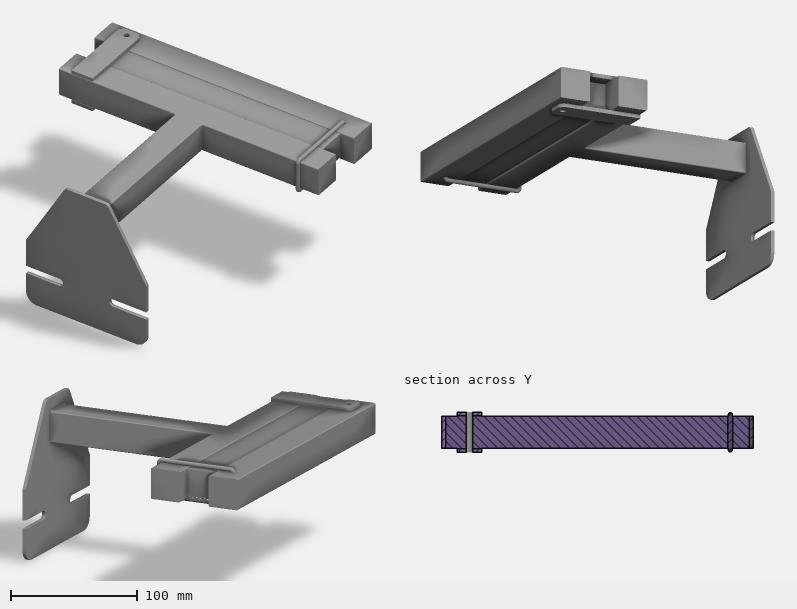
import cadquery as cq
import math


bar_size = 25.4
bar_length = 240.0
bar_edge_radius = 0.9
cap_thickness = 3.0

plate_thickness = 3.0
plate_width = 114.0
plate_top = 24.0
plate_height = 124.0
plate_top_width = 40.0
plate_slope_angle = 30.0
plate_top_radius = 5.0
plate_bottom_radius = 10.0
slot_height = 7.0
slot_depth = 35.0
slot_z = -69.0

overall_depth = 221.8
rear_bar_y = overall_depth - bar_size / 2
bar_gap = bar_size
front_bar_y = rear_bar_y - bar_size - bar_gap
front_bar_face = front_bar_y - bar_size / 2

weld_radius = 1.2
select_margin = 0.1

pad_length = 210.0
pad_right_end = 110.0
pad_height = 22.6
pad_top = 11.8
pad_thickness = bar_gap / 2

strap_width = 20.0
strap_thickness = 3.2
strap_x = -101.0
strap_overhang = 7.0
strap_corner_radius = 5.5
hinge_hole_diameter = 4.8

wire_diameter = 3.5
wire_x = 104.8
wire_bend_radius = 2.5


def square_bar(length, center_x, center_y):
    """Bar along X with rounded long edges."""
    return (
        cq.Workplane("XY")
        .box(length, bar_size, bar_size)
        .edges("|X")
        .fillet(bar_edge_radius)
        .translate((center_x, center_y, 0))
    )


def make_post():
    """Bar along Y from the plate into the front bar."""
    post_length = front_bar_y - plate_thickness
    return (
        cq.Workplane("XY")
        .box(bar_size, post_length, bar_size)
        .edges("|Y")
        .fillet(bar_edge_radius)
        .translate((0, plate_thickness + post_length / 2, 0))
    )


def make_plate():
    """Tapered plate with rounded corners and a round-ended slot open to each side."""
    half_width = plate_width / 2
    half_top = plate_top_width / 2
    plate_bottom = plate_top - plate_height
    shoulder_z = plate_top - (half_width - half_top) / math.tan(math.radians(plate_slope_angle))
    plate = (
        cq.Workplane("XZ")
        .polyline([
            (-half_width, plate_bottom),
            (half_width, plate_bottom),
            (half_width, shoulder_z),
            (half_top, plate_top),
            (-half_top, plate_top),
            (-half_width, shoulder_z),
        ])
        .close()
        .extrude(-plate_thickness)
    )
    plate = plate.faces("<Z").edges("|Y").fillet(plate_bottom_radius)
    plate = plate.faces(">Z").edges("|Y").fillet(plate_top_radius)
    slots = (
        cq.Workplane("XZ")
        .pushPoints([(-half_width, slot_z), (half_width, slot_z)])
        .slot2D(2 * slot_depth, slot_height)
        .extrude(-plate_thickness)
    )
    return plate.cut(slots)


def make_strap(bottom_z):
    """Flat strap from the front bar's outer face to beyond the hinge axis."""
    strap_length = rear_bar_y + strap_overhang - front_bar_face
    return (
        cq.Workplane("XY")
        .box(strap_width, strap_length, strap_thickness, centered=(True, False, False))
        .edges("|Z and >Y")
        .fillet(strap_corner_radius)
        .translate((strap_x, front_bar_face, bottom_z))
    )


def hinge_hole():
    """Vertical drill through both straps and the rear bar."""
    drill_length = bar_size + 2 * strap_thickness
    return (
        cq.Workplane("XY")
        .center(strap_x, rear_bar_y)
        .circle(hinge_hole_diameter / 2)
        .extrude(drill_length / 2, both=True)
    )


def joint_edges(joint_y):
    """Selector for the edges in the plane y = joint_y around the post's section."""
    reach = bar_size / 2 + select_margin
    return cq.selectors.BoxSelector(
        (-reach, joint_y - select_margin, -reach),
        (reach, joint_y + select_margin, reach),
    )


def make_frame():
    """Front bar, post, plate and hinge straps welded into one body."""
    frame = square_bar(bar_length, 0, front_bar_y).union(make_post())
    frame = frame.union(make_plate())
    for joint_y in (plate_thickness, front_bar_face):
        frame = frame.edges(joint_edges(joint_y)).fillet(weld_radius)
    half_bar = bar_size / 2
    for bottom_z in (half_bar, -half_bar - strap_thickness):
        frame = frame.union(make_strap(bottom_z))
    return frame.cut(hinge_hole())


def make_wire_latch():
    """Closed rectangular wire loop with rounded bends, lying against the front bar."""
    rear = rear_bar_y
    front = front_bar_face - wire_diameter / 2
    top = (bar_size + wire_diameter) / 2
    bend = wire_bend_radius
    bend_mid = bend * (1 - math.sqrt(0.5))
    path = (
        cq.Workplane("YZ", origin=(wire_x, 0, 0))
        .moveTo(rear, 0)
        .lineTo(rear, top - bend)
        .threePointArc((rear - bend_mid, top - bend_mid), (rear - bend, top))
        .lineTo(front + bend, top)
        .threePointArc((front + bend_mid, top - bend_mid), (front, top - bend))
        .lineTo(front, 0)
    )
    upper_half = cq.Workplane("XY", origin=(wire_x, rear, 0)).circle(wire_diameter / 2).sweep(path)
    return upper_half.union(upper_half.mirror("XY"))


def make_rear_bar(latch):
    """Hinged bar, drilled for the hinge and for the latch."""
    return square_bar(bar_length, 0, rear_bar_y).cut(hinge_hole()).cut(latch)


def make_pad(center_y):
    """Flat clamping pad facing the other bar."""
    return (
        cq.Workplane("XY")
        .box(pad_length, pad_thickness, pad_height)
        .translate((pad_right_end - pad_length / 2, center_y, pad_top - pad_height / 2))
    )


def make_end_cap(side, center_y):
    """Cap on one end of a bar, matching the bar's section."""
    return square_bar(cap_thickness, side * (bar_length + cap_thickness) / 2, center_y)


frame = make_frame()
latch = make_wire_latch()
rear_bar = make_rear_bar(latch)

gap_center_y = (front_bar_y + rear_bar_y) / 2
pads = [make_pad(gap_center_y + side * pad_thickness / 2) for side in (-1, 1)]
end_caps = [make_end_cap(side, y) for side in (-1, 1) for y in (front_bar_y, rear_bar_y)]

result = cq.Compound.makeCompound([
    frame.val(),
    rear_bar.val(),
    latch.val(),
    *[pad.val() for pad in pads],
    *[cap.val() for cap in end_caps],
])